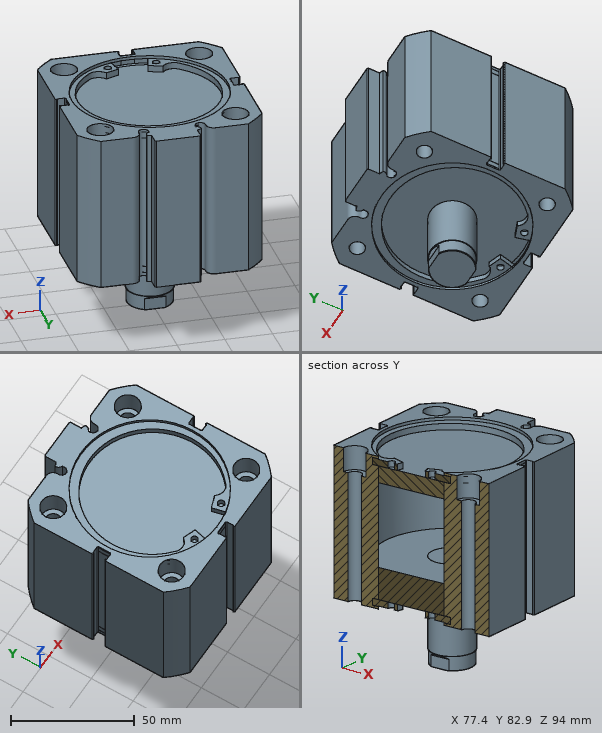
import cadquery as cq
import math


half_width = 38.7
total_height = 94.0
rod_reach = 28.0
housing_height = total_height - rod_reach
corner_radius = 49.5
bore_radius = 32.6

mount_offset = 28.3
mount_radius = 3.3
counterbore_radius = 5.45
counterbore_depth = 10.3

slot_depth = 4.3
slot_half_width = 3.2
slot_lip_half_width = 2.7
slot_lip_depth = 0.75
slot_corner_chamfer = 0.4
slot_floor = half_width - slot_depth

rail_height = 5.5
rail_half_width = 9.6
rail_chamfer = 0.5
barb_half_width = 11.5
barb_tip_drop = 0.7
barb_height = 3.2
barb_bulge_inset = 0.2
barb_bulge_drop = 1.9
channel_offset = 11.89
channel_radius = 2.1
channel_center = 34.6
channel_mouth_radius = 3.4

ring_inset = 1.3
ring_thickness = 2.7
ring_radius = 34.2
ring_inner_radius = 29.8
ring_inner_shift = -1.3
lug_angle = 20.0
lug_end_angle = 13.6
lug_hole_distance = 29.5
lug_hole_radius = 1.5
lug_face_distance = 26.1
lug_half_width = 3.1
lug_blend_middle = (16.3, -25.6)
lug_blend_angle = 40.5

cover_inset = ring_inset + ring_thickness
head_cover_thickness = 7.5
rod_cover_thickness = 14.1

rod_radius = 10.0
neck_radius = 9.7
neck_length = 6.4
end_chamfer = 0.3
flat_half_width = 8.6
flat_length = 5.1


def polar(radius, degrees_from_minus_y):
    """Point on the +X side at an angle measured from -Y."""
    angle = math.radians(degrees_from_minus_y)
    return radius * math.sin(angle), -radius * math.cos(angle)


def mirrored(point):
    return -point[0], point[1]


def disc(radius, bottom, height):
    return cq.Workplane("XY").workplane(offset=bottom).circle(radius).extrude(height)


def make_channel(side):
    """Cutter for the channel beside the rail, with its flared mouth."""
    outer_wall = channel_offset + channel_radius
    inner_wall = channel_offset - channel_radius
    barb_root = half_width - barb_height
    barb_tip = half_width - barb_tip_drop
    barb_bulge = (side * (barb_half_width - barb_bulge_inset), half_width - barb_bulge_drop)
    mouth_start = half_width - channel_mouth_radius
    mouth_edge = outer_wall + channel_mouth_radius
    mouth_bulge = channel_mouth_radius * (1 - math.sqrt(0.5))
    top = half_width + rail_height
    return (
        cq.Workplane("XY")
        .moveTo(side * rail_half_width, half_width)
        .lineTo(side * barb_half_width, barb_tip)
        .threePointArc(barb_bulge, (side * inner_wall, barb_root))
        .lineTo(side * inner_wall, channel_center)
        .threePointArc(
            (side * channel_offset, channel_center - channel_radius),
            (side * outer_wall, channel_center),
        )
        .lineTo(side * outer_wall, mouth_start)
        .threePointArc(
            (side * (outer_wall + mouth_bulge), half_width - mouth_bulge),
            (side * mouth_edge, half_width),
        )
        .lineTo(side * mouth_edge, top)
        .lineTo(side * rail_half_width, top)
        .close()
        .extrude(housing_height)
    )


def make_slot(angle):
    """Cutter for a slot with a chamfered mouth and small inner lips in the -Y face, turned about the axis."""
    mouth_chamfer = slot_half_width - slot_lip_half_width
    right_side = [
        (slot_half_width, -half_width),
        (slot_lip_half_width, -half_width + mouth_chamfer),
        (slot_lip_half_width, -half_width + slot_lip_depth),
        (slot_half_width, -half_width + slot_lip_depth),
        (slot_half_width, -slot_floor - slot_corner_chamfer),
        (slot_half_width - slot_corner_chamfer, -slot_floor),
    ]
    left_side = [mirrored(point) for point in reversed(right_side)]
    slot = cq.Workplane("XY").polyline(right_side + left_side).close().extrude(housing_height)
    return slot.rotate((0, 0, 0), (0, 0, 1), angle)


def make_housing():
    body = cq.Workplane("XY").rect(2 * half_width, 2 * half_width).extrude(housing_height)
    body = body.intersect(disc(corner_radius, 0, housing_height))

    rail_top = half_width + rail_height
    rail = (
        cq.Workplane("XY")
        .center(0, (rail_top + channel_center) / 2)
        .rect(2 * rail_half_width, rail_top - channel_center)
        .extrude(housing_height)
        .edges("|Z and >Y")
        .chamfer(rail_chamfer)
    )
    body = body.union(rail)
    for side in (-1, 1):
        body = body.cut(make_channel(side))
    for angle in (-90, 0, 90):
        body = body.cut(make_slot(angle))

    body = (
        body.faces(">Z")
        .workplane(origin=(0, 0, housing_height))
        .rect(2 * mount_offset, 2 * mount_offset, forConstruction=True)
        .vertices()
        .cboreHole(2 * mount_radius, 2 * counterbore_radius, counterbore_depth)
    )
    body = body.cut(disc(bore_radius, 0, housing_height))
    for bottom in ring_bottoms:
        body = body.cut(disc(ring_radius, bottom, ring_thickness))
    return body


def make_ring(bottom):
    """Retaining ring, open at -Y, with a drilled lug at each end."""
    end_outer = polar(ring_radius, lug_end_angle)
    lug_reach = math.radians(lug_angle - lug_end_angle)
    end_inner = polar(lug_face_distance / math.cos(lug_reach), lug_end_angle)
    heel_angle = math.degrees(math.atan2(lug_half_width, lug_face_distance))
    heel = polar(math.hypot(lug_half_width, lug_face_distance), lug_angle + heel_angle)
    blend_x, blend_y = polar(ring_inner_radius, lug_blend_angle)
    blend_end = (blend_x, blend_y + ring_inner_shift)
    lug_hole = polar(lug_hole_distance, lug_angle)
    return (
        cq.Workplane("XY")
        .workplane(offset=bottom)
        .moveTo(*end_outer)
        .threePointArc((0, ring_radius), mirrored(end_outer))
        .lineTo(*mirrored(end_inner))
        .lineTo(*mirrored(heel))
        .threePointArc(mirrored(lug_blend_middle), mirrored(blend_end))
        .threePointArc((0, ring_inner_radius + ring_inner_shift), blend_end)
        .threePointArc(lug_blend_middle, heel)
        .lineTo(*end_inner)
        .close()
        .pushPoints([lug_hole, mirrored(lug_hole)])
        .circle(lug_hole_radius)
        .extrude(ring_thickness)
    )


def make_head_cover():
    bottom = housing_height - cover_inset - head_cover_thickness
    return disc(bore_radius, bottom, head_cover_thickness)


def make_rod_cover():
    cover = disc(bore_radius, cover_inset, rod_cover_thickness)
    return cover.cut(disc(rod_radius, cover_inset, rod_cover_thickness))


def make_rod():
    """Plain rod, flush inside with the rod cover, with a reduced end and two flats."""
    tip = -rod_reach
    shoulder = tip + neck_length
    rod = disc(neck_radius, tip, neck_length).faces("<Z").chamfer(end_chamfer)
    rod = rod.union(disc(rod_radius, shoulder, cover_inset + rod_cover_thickness - shoulder))

    flat_top = tip + flat_length
    slope_run = neck_length - flat_length
    for side in (-1, 1):
        cutter = (
            cq.Workplane("YZ")
            .moveTo(side * flat_half_width, tip)
            .lineTo(side * flat_half_width, flat_top)
            .lineTo(side * (flat_half_width + slope_run), shoulder)
            .lineTo(side * (flat_half_width + slope_run), tip)
            .close()
            .extrude(rod_radius, both=True)
        )
        rod = rod.cut(cutter)
    return rod


ring_bottoms = (ring_inset, housing_height - ring_inset - ring_thickness)

housing = make_housing()
rings = [make_ring(bottom) for bottom in ring_bottoms]
head_cover = make_head_cover()
rod_cover = make_rod_cover()
rod = make_rod()

result = cq.Compound.makeCompound(
    [housing.val(), head_cover.val(), rod_cover.val(), rod.val(), *[ring.val() for ring in rings]]
)